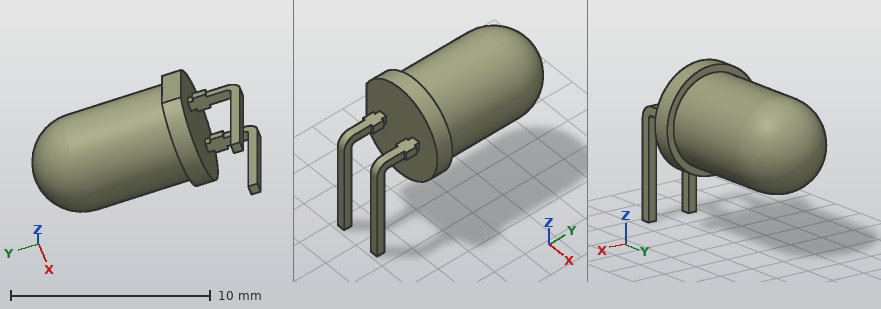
import cadquery as cq

lens_diameter = 5.0
lens_radius = lens_diameter / 2
flange_diameter = 5.8
flange_radius = flange_diameter / 2
flange_thickness = 1.0
flat_offset = 2.55
body_length = 8.7
dome_start = body_length - lens_radius

lead_pitch = 2.54
lead_width = 0.5
lead_reach = 2.54
lead_drop = 5.9
bend_inner_radius = 0.25
bend_outer_radius = bend_inner_radius + lead_width
tab_width = 0.8
tab_start = 0.3
tab_length = 0.7


def make_lens():
    """Cylinder with a hemispherical dome, revolved about the Y axis."""
    return (
        cq.Workplane("XY")
        .lineTo(lens_radius, 0)
        .lineTo(lens_radius, dome_start)
        .radiusArc((0, body_length), -lens_radius)
        .close()
        .revolve(360, (0, 0, 0), (0, 1, 0))
    )


def make_flange():
    """Base disc with one flat on the -X side."""
    disc = cq.Workplane("XZ").circle(flange_radius).extrude(-flange_thickness)
    kept_side = cq.Workplane("XY").box(
        flat_offset + flange_radius,
        flange_thickness,
        flange_diameter,
        centered=(False, False, True),
    )
    return disc.intersect(kept_side.translate((-flat_offset, 0, 0)))


def make_lead(x):
    """Bent square wire with a wider stand-off tab, centred at the given X."""
    half = lead_width / 2
    leg_outer = -lead_reach - half
    leg_inner = -lead_reach + half
    bend_start = leg_outer + bend_outer_radius
    bend_end = half - bend_outer_radius
    wire = (
        cq.Workplane("YZ")
        .moveTo(0, half)
        .lineTo(bend_start, half)
        .radiusArc((leg_outer, bend_end), -bend_outer_radius)
        .lineTo(leg_outer, -lead_drop)
        .lineTo(leg_inner, -lead_drop)
        .lineTo(leg_inner, bend_end)
        .radiusArc((bend_start, -half), bend_inner_radius)
        .lineTo(0, -half)
        .close()
        .extrude(half, both=True)
    )
    tab_centre = -tab_start - tab_length / 2
    tab = cq.Workplane("XY").box(tab_width, tab_length, lead_width).translate((0, tab_centre, 0))
    return wire.union(tab).translate((x, 0, 0))


result = make_lens().union(make_flange())
for side in (-1, 1):
    result = result.union(make_lead(side * lead_pitch / 2))